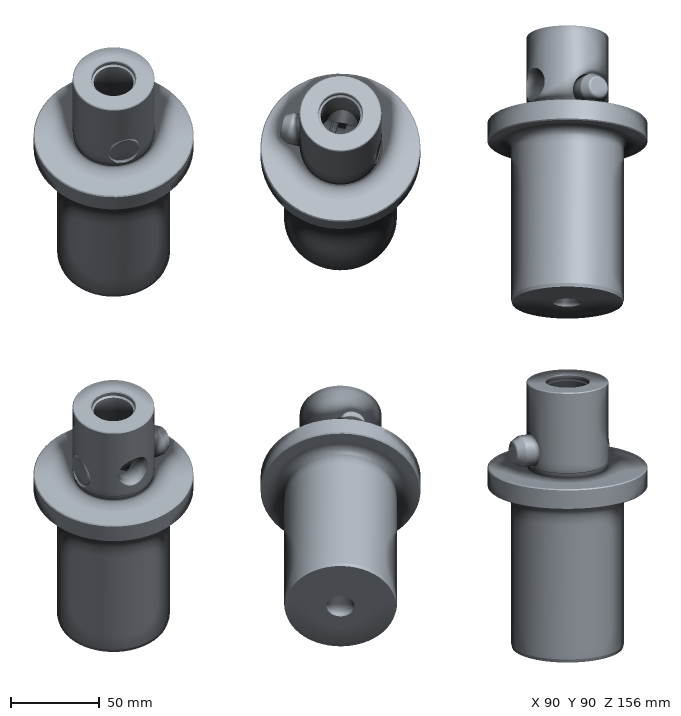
import cadquery as cq
import math

TOTAL_HEIGHT = 156.0
SHANK_RADIUS = 31.75
FLANGE_RADIUS = 45.0
FLANGE_THICKNESS = 12.0
FLANGE_CHAMFER = 0.6
SPIGOT_RADIUS = 23.0
SPIGOT_LENGTH = 50.0
SPIGOT_CHAMFER = 0.5
FLANGE_TOP = TOTAL_HEIGHT - SPIGOT_LENGTH
FLANGE_BOTTOM = FLANGE_TOP - FLANGE_THICKNESS
FLANGE_FILLET = 4.7

LEAD_IN_HEIGHT = 2.0
LEAD_IN_DEPTH = 0.5

RELIEF_HEIGHT = 2.9
RELIEF_DEPTH = 0.4
RELIEF_WIDTH = 0.7
RELIEF_SINK = 0.3

MOUTH_RADIUS = 12.3
MOUTH_DEPTH = 2.7
MOUTH_CHAMFER = 0.5
BORE_RADIUS = 11.2
THROUGH_RADIUS = 7.9
BORE_FLOOR = FLANGE_TOP - 6.0
STEP_ANGLE = 30.0

PIN_RADIUS = 9.0
PIN_HEIGHT = FLANGE_TOP + 12.1
HOLE_CHAMFER = 1.3
SIDE_HOLE_RADIUS = 9.6
SIDE_HOLE_HEIGHT = FLANGE_TOP + 18.4

PIN_TIP = -33.7
PIN_END = 22.0
TIP_FLAT_RADIUS = 5.1
TIP_ROUND_RADIUS = 6.7
TIP_ROUND_LENGTH = 1.0
CONE_ANGLE = 30.0
CONE_BLEND = 1.0
PIN_END_CHAMFER = 0.6
WAIST_RADIUS = 6.15
WAIST_START = -2.9
WAIST_END = 2.1
WAIST_CORNER = 0.5

SEAL_THICKNESS = 1.5
SEAL_POSITION = -5.85
SEAL_PROTRUSION = 0.3
SEAL_CENTRE_RADIUS = PIN_RADIUS + SEAL_PROTRUSION - SEAL_THICKNESS / 2
SEAL_GROOVE_RADIUS = SEAL_CENTRE_RADIUS - SEAL_THICKNESS / 2


def make_housing_blank():
    """Revolve the outside of shank, flange and spigot about Z."""
    neck_radius = SPIGOT_RADIUS - RELIEF_DEPTH
    relief_top = FLANGE_TOP + RELIEF_HEIGHT
    fillet_middle = FLANGE_FILLET * (1 - math.sqrt(0.5))
    return (
        cq.Workplane("XZ")
        .moveTo(0, 0)
        .lineTo(SHANK_RADIUS - LEAD_IN_DEPTH, 0)
        .lineTo(SHANK_RADIUS, LEAD_IN_HEIGHT)
        .lineTo(SHANK_RADIUS, FLANGE_BOTTOM - FLANGE_FILLET)
        .threePointArc(
            (SHANK_RADIUS + fillet_middle, FLANGE_BOTTOM - fillet_middle),
            (SHANK_RADIUS + FLANGE_FILLET, FLANGE_BOTTOM),
        )
        .lineTo(FLANGE_RADIUS - FLANGE_CHAMFER, FLANGE_BOTTOM)
        .lineTo(FLANGE_RADIUS, FLANGE_BOTTOM + FLANGE_CHAMFER)
        .lineTo(FLANGE_RADIUS, FLANGE_TOP - FLANGE_CHAMFER)
        .lineTo(FLANGE_RADIUS - FLANGE_CHAMFER, FLANGE_TOP)
        .lineTo(SPIGOT_RADIUS + RELIEF_WIDTH, FLANGE_TOP)
        .lineTo(SPIGOT_RADIUS, FLANGE_TOP - RELIEF_SINK)
        .lineTo(neck_radius, FLANGE_TOP - RELIEF_SINK)
        .lineTo(neck_radius, relief_top - RELIEF_DEPTH)
        .lineTo(SPIGOT_RADIUS, relief_top)
        .lineTo(SPIGOT_RADIUS, TOTAL_HEIGHT - SPIGOT_CHAMFER)
        .lineTo(SPIGOT_RADIUS - SPIGOT_CHAMFER, TOTAL_HEIGHT)
        .lineTo(0, TOTAL_HEIGHT)
        .close()
        .revolve(360, (0, 0), (0, 1))
    )


def make_bore():
    """Stepped bore: chamfered mouth, main bore, conical floor, through hole."""
    mouth_floor = TOTAL_HEIGHT - MOUTH_DEPTH
    step_slope = math.tan(math.radians(STEP_ANGLE))
    mouth_step = (MOUTH_RADIUS - BORE_RADIUS) * step_slope
    floor_step = (BORE_RADIUS - THROUGH_RADIUS) * step_slope
    return (
        cq.Workplane("XZ")
        .moveTo(0, 0)
        .lineTo(THROUGH_RADIUS, 0)
        .lineTo(THROUGH_RADIUS, BORE_FLOOR - floor_step)
        .lineTo(BORE_RADIUS, BORE_FLOOR)
        .lineTo(BORE_RADIUS, mouth_floor - mouth_step)
        .lineTo(MOUTH_RADIUS, mouth_floor)
        .lineTo(MOUTH_RADIUS, TOTAL_HEIGHT - MOUTH_CHAMFER)
        .lineTo(MOUTH_RADIUS + MOUTH_CHAMFER, TOTAL_HEIGHT)
        .lineTo(0, TOTAL_HEIGHT)
        .close()
        .revolve(360, (0, 0), (0, 1))
    )


def make_pin_hole():
    """Hole along X through the spigot, with a countersink at each mouth."""
    cone_start = SPIGOT_RADIUS - 2 * HOLE_CHAMFER
    return (
        cq.Workplane("XY")
        .moveTo(-SPIGOT_RADIUS, 0)
        .lineTo(-SPIGOT_RADIUS, PIN_RADIUS + HOLE_CHAMFER)
        .lineTo(-cone_start, PIN_RADIUS)
        .lineTo(cone_start, PIN_RADIUS)
        .lineTo(SPIGOT_RADIUS, PIN_RADIUS + HOLE_CHAMFER)
        .lineTo(SPIGOT_RADIUS, 0)
        .close()
        .revolve(360, (0, 0), (1, 0))
        .translate((0, 0, PIN_HEIGHT))
    )


def make_side_hole():
    """Radial hole from the +Y side of the spigot into the bore."""
    return (
        cq.Workplane("XZ")
        .center(0, SIDE_HOLE_HEIGHT)
        .circle(SIDE_HOLE_RADIUS)
        .extrude(-SPIGOT_RADIUS)
    )


def make_pin():
    """Cross pin: rounded conical tip, seal groove, waist and plain end."""
    cone_start = PIN_TIP + TIP_ROUND_LENGTH
    cone_end = cone_start + (PIN_RADIUS - TIP_ROUND_RADIUS) / math.tan(math.radians(CONE_ANGLE))
    blend_tangent = CONE_BLEND / 2
    blend_start = (
        cone_end - blend_tangent * math.cos(math.radians(CONE_ANGLE)),
        PIN_RADIUS - blend_tangent * math.sin(math.radians(CONE_ANGLE)),
    )
    groove_start = SEAL_POSITION - SEAL_THICKNESS / 2
    groove_end = SEAL_POSITION + SEAL_THICKNESS / 2
    return (
        cq.Workplane("XY")
        .moveTo(PIN_TIP, 0)
        .lineTo(PIN_TIP, TIP_FLAT_RADIUS)
        .tangentArcPoint((cone_start, TIP_ROUND_RADIUS), relative=False)
        .lineTo(*blend_start)
        .tangentArcPoint((cone_end + blend_tangent, PIN_RADIUS), relative=False)
        .lineTo(groove_start, PIN_RADIUS)
        .lineTo(groove_start, SEAL_GROOVE_RADIUS)
        .lineTo(groove_end, SEAL_GROOVE_RADIUS)
        .lineTo(groove_end, PIN_RADIUS)
        .lineTo(WAIST_START, PIN_RADIUS)
        .lineTo(WAIST_START, WAIST_RADIUS + WAIST_CORNER)
        .lineTo(WAIST_START + WAIST_CORNER, WAIST_RADIUS)
        .lineTo(WAIST_END - WAIST_CORNER, WAIST_RADIUS)
        .lineTo(WAIST_END, WAIST_RADIUS + WAIST_CORNER)
        .lineTo(WAIST_END, PIN_RADIUS)
        .lineTo(PIN_END - PIN_END_CHAMFER, PIN_RADIUS)
        .lineTo(PIN_END, PIN_RADIUS - PIN_END_CHAMFER)
        .lineTo(PIN_END, 0)
        .close()
        .revolve(360, (0, 0), (1, 0))
        .translate((0, 0, PIN_HEIGHT))
    )


def make_seal():
    """Seal ring seated in the pin's groove."""
    return (
        cq.Workplane("XY")
        .center(SEAL_POSITION, SEAL_CENTRE_RADIUS)
        .circle(SEAL_THICKNESS / 2)
        .revolve(360, (0, -SEAL_CENTRE_RADIUS), (1, -SEAL_CENTRE_RADIUS))
        .translate((0, 0, PIN_HEIGHT))
    )


housing = make_housing_blank().cut(make_bore()).cut(make_pin_hole()).cut(make_side_hole())
pin = make_pin()
seal = make_seal()

result = cq.Compound.makeCompound([housing.val(), pin.val(), seal.val()])